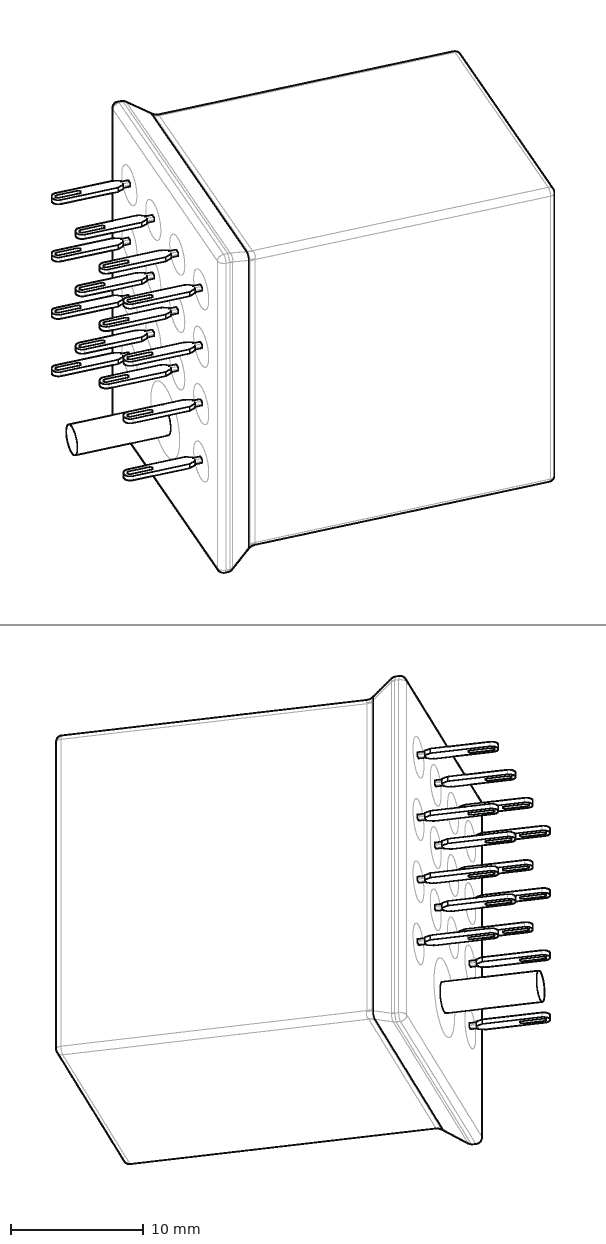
import cadquery as cq

overall_length = 35.12

flange_width = 22.9
flange_height = 28.8
rim_depth = 0.95
flare_end = 3.05

can_width = 20.5
can_height = 26.62
can_end = 27.6
edge_radius = 0.5
foot_fillet_radius = 0.88
seam_y = 2.75

columns = 4
rows = 4
column_spacing = 5.02
row_spacing = 5.2
top_row_z = 9.2
bead_radius = 1.58
bead_depth = rim_depth

pin_rise = 0.15
pin_length = 6.2
pin_width = 1.02
pin_thickness = 0.4
neck_width = 0.53
neck_length = 0.55
neck_fillet_radius = 0.15
shoulder_end = 1.1
eye_length = 2.05
eye_width = 0.4
eye_to_tip = 0.28

tube_z = -7.38
tube_radius = 1.2
tube_length = overall_length - can_end
seat_radius = 3.02


def rounded_rectangle(width, height):
    return cq.Sketch().rect(width, height).vertices().fillet(edge_radius)


def round_bar(radius, x, z, y_start, y_end):
    """Round bar along Y."""
    return cq.Workplane("XZ", origin=(x, y_start, z)).circle(radius).extrude(y_start - y_end)


def fillet_outline(body, y, radius):
    """Fillet the edges of the body that lie in the plane at y."""
    near = 0.005
    reach = overall_length
    ring = cq.selectors.BoxSelector((-reach, y - near, -reach), (reach, y + near, reach))
    return body.edges(ring).fillet(radius)


def make_envelope():
    """Outer shape of the can and the flange together."""
    rim_outline = rounded_rectangle(flange_width, flange_height)
    can_outline = rounded_rectangle(can_width, can_height)
    flare_top = can_outline.moved(cq.Location(cq.Vector(0, 0, rim_depth - flare_end)))

    rim = cq.Workplane("XZ").placeSketch(rim_outline).extrude(-rim_depth)
    flare = cq.Workplane("XZ", origin=(0, rim_depth, 0)).placeSketch(rim_outline, flare_top).loft(ruled=True)
    can = cq.Workplane("XZ", origin=(0, flare_end, 0)).placeSketch(can_outline).extrude(flare_end - can_end)

    envelope = rim.union(flare).union(can)
    for y in (0, rim_depth, can_end):
        envelope = fillet_outline(envelope, y, edge_radius)
    return fillet_outline(envelope, flare_end, foot_fillet_radius)


def space_in_front_of_seam():
    size = 2 * overall_length
    return cq.Workplane("XY").box(size, size, size).translate((0, seam_y - size / 2, 0))


def make_can():
    return make_envelope().cut(space_in_front_of_seam())


def make_pin(x, z):
    half_width = pin_width / 2
    half_neck = neck_width / 2
    tip_start = half_width - pin_length
    blade = (
        cq.Workplane("XY")
        .moveTo(-half_neck, -neck_length)
        .lineTo(-half_width, -shoulder_end)
        .lineTo(-half_width, tip_start)
        .threePointArc((0, -pin_length), (half_width, tip_start))
        .lineTo(half_width, -shoulder_end)
        .lineTo(half_neck, -neck_length)
        .close()
        .extrude(pin_thickness / 2, both=True)
    )
    eye_y = eye_to_tip + eye_length / 2 - pin_length
    eye = (
        cq.Workplane("XY")
        .center(0, eye_y)
        .slot2D(eye_length, eye_width, 90)
        .extrude(pin_thickness, both=True)
    )
    neck = (
        cq.Workplane("XY")
        .box(neck_width, neck_length, pin_thickness)
        .translate((0, -neck_length / 2, 0))
        .edges("|Y")
        .fillet(neck_fillet_radius)
    )
    return blade.cut(eye).union(neck).translate((x, 0, z))


def bead_centers():
    """X and Z of each bead; the bottom row has beads only at its two ends, clear of the tube."""
    centers = []
    for row in range(rows):
        is_bottom = row == rows - 1
        for column in (0, columns - 1) if is_bottom else range(columns):
            x = (column - (columns - 1) / 2) * column_spacing
            centers.append((x, top_row_z - row * row_spacing))
    return centers


def make_header():
    """Flange with its beads, pins and tube; clean=False keeps the bead outlines in the flush face."""
    header = make_envelope().intersect(space_in_front_of_seam())
    for x, z in bead_centers():
        header = header.union(round_bar(bead_radius, x, z, 0, bead_depth), clean=False)
        header = header.union(make_pin(x, z + pin_rise), clean=False)
    header = header.union(round_bar(seat_radius, 0, tube_z, 0, bead_depth), clean=False)
    return header.union(round_bar(tube_radius, 0, tube_z, -tube_length, 0), clean=False)


can = make_can()
header = make_header()
result = cq.Compound.makeCompound([can.solids().val(), header.solids().val()])